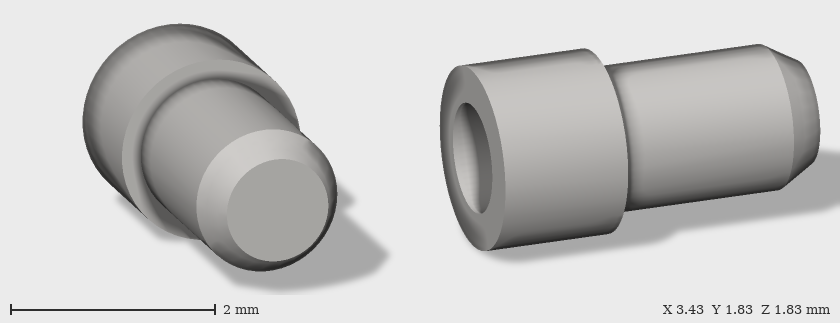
import cadquery as cq
import math

total_length = 3.43
head_length = 1.28
head_diameter = 1.83
shank_diameter = 1.445
tip_length = 0.35
tip_half_angle = 30.0

hole_diameter = 1.098
hole_depth = head_length
drill_point_angle = 118.0

head_radius = head_diameter / 2
shank_radius = shank_diameter / 2
tip_radius = shank_radius - tip_length * math.tan(math.radians(tip_half_angle))
hole_radius = hole_diameter / 2
drill_point_length = hole_radius / math.tan(math.radians(drill_point_angle / 2))

half_section = (
    cq.Workplane("XY")
    .moveTo(0, hole_radius)
    .lineTo(0, head_radius)
    .lineTo(head_length, head_radius)
    .lineTo(head_length, shank_radius)
    .lineTo(total_length - tip_length, shank_radius)
    .lineTo(total_length, tip_radius)
    .lineTo(total_length, 0)
    .lineTo(hole_depth + drill_point_length, 0)
    .lineTo(hole_depth, hole_radius)
    .close()
)

result = half_section.revolve(360, (0, 0, 0), (1, 0, 0))